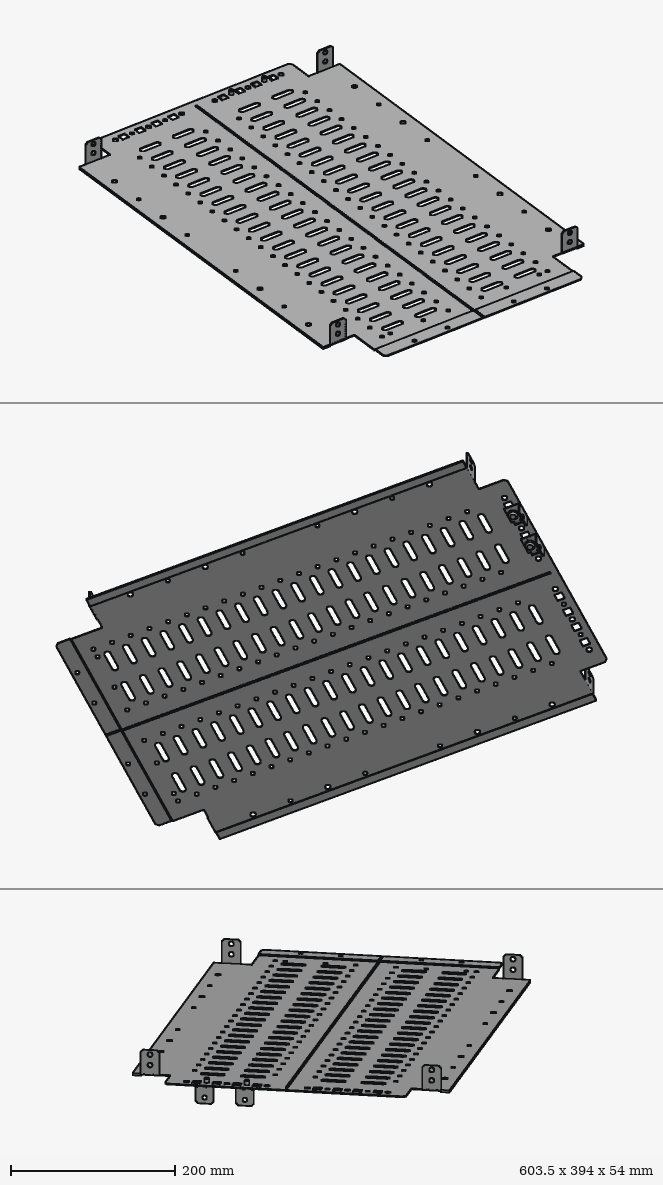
import cadquery as cq
import math


sheet_thickness = 1.5
sheet_left = -301.0
sheet_right = 302.5
sheet_half_width = 149.5
sheet_corner_chamfer = 3.5

slot_field_length = 499.5
slots_per_row = 21
pitch = slot_field_length / (slots_per_row - 1)
slot_row_y = (2 * pitch, 4 * pitch)

lap_step_start = 280.5
lap_step_run = 2.0
lap_hole_x = 295.0

wing_center_x = -pitch / 2
wing_half_length = 251.5
wing_half_width = 197.0
hem_width = 11.0
wing_hole_y = 181.0

tab_width = 23.5
tab_length = 32.0
tab_height = tab_length - sheet_thickness
tab_overhang = 1.0
tab_corner_chamfer = 3.0
tab_bend_radius = 0.9
tab_center_y = 7 * pitch
tab_hole_heights = (11.5, 25.0)
tab_hole_diameter = 6.0

slot_length = 30.0
slot_width = 8.0
small_hole_diameter = 5.1
large_hole_diameter = 6.5
cutter_height = 4 * sheet_thickness
square_hole_side = 9.5
left_column_x = -11.5 * pitch
right_column_x = 10.5 * pitch

perforation_size = 2.3
perforation_start = -292.5
perforation_count = 140
perforation_pitch = (sheet_right - perforation_start) / perforation_count

bracket_rows = slot_row_y
bracket_width = 22.5
bracket_foot_length = 21.0
bracket_leg_length = 22.0
bracket_bottom = -sheet_thickness - bracket_leg_length
bracket_corner_chamfer = 3.0
bracket_hole_diameter = 5.5
bracket_hole_z = -15.5

nose_width = 8.5
nose_slope_degrees = 17
nose_end_clearance = 0.5

bolt_diameter = 6.0
bolt_end_height = 6.0
bolt_end_chamfer = 1.0
bolt_head_diameter = 12.0
bolt_head_height = 6.0
bolt_head_chamfer = 2.5


def box(x_range, y_range, z_range):
    """Box between the given limits."""
    size = [high - low for low, high in (x_range, y_range, z_range)]
    corner = (x_range[0], y_range[0], z_range[0])
    return cq.Workplane("XY").box(*size, centered=False).translate(corner)


def vertical_holes(points, diameter):
    """Round cutters through the full height of the sheet, the raised lap and the hems included."""
    base = cq.Workplane("XY").workplane(offset=-cutter_height / 2)
    return base.pushPoints(points).circle(diameter / 2).extrude(cutter_height)


def mirrored(points):
    """The points together with their mirror images across Y = 0."""
    return points + [(x, -y) for x, y in points]


def make_sheet():
    """Main sheet with the lap at its right end raised by one thickness."""
    lap_start = lap_step_start + lap_step_run
    profile = [
        (sheet_left, -sheet_thickness),
        (lap_step_start, -sheet_thickness),
        (lap_start, 0),
        (sheet_right, 0),
        (sheet_right, sheet_thickness),
        (lap_start, sheet_thickness),
        (lap_step_start, 0),
        (sheet_left, 0),
    ]
    sheet = cq.Workplane("XZ").polyline(profile).close().extrude(sheet_half_width, both=True)
    return sheet.edges("|Z").chamfer(sheet_corner_chamfer)


def make_wings():
    """One blank across both wings, with a hem under each long edge."""
    x_range = (wing_center_x - wing_half_length, wing_center_x + wing_half_length)
    hem_start = wing_half_width - hem_width
    wings = box(x_range, (-wing_half_width, wing_half_width), (-sheet_thickness, 0))
    for y_range in ((-wing_half_width, -hem_start), (hem_start, wing_half_width)):
        wings = wings.union(box(x_range, y_range, (-2 * sheet_thickness, 0)))
    return wings


def make_tab(x_side, y_side):
    """Upright tab at one wing end, with two holes and chamfered upper corners."""
    outer = wing_half_length + tab_overhang
    y_range = (tab_center_y - tab_width / 2, tab_center_y + tab_width / 2)
    tab = box((outer - sheet_thickness, outer), y_range, (-sheet_thickness, tab_height))
    tab = tab.edges("|X and >Z").chamfer(tab_corner_chamfer)
    tab = tab.edges("|Y and >X and <Z").fillet(tab_bend_radius)
    hole_points = [(tab_center_y, height) for height in tab_hole_heights]
    tab = tab.cut(cq.Workplane("YZ").pushPoints(hole_points).circle(tab_hole_diameter / 2).extrude(2 * outer))
    if x_side < 0:
        tab = tab.mirror("YZ")
    if y_side < 0:
        tab = tab.mirror("XZ")
    return tab.translate((wing_center_x, 0, 0))


def slot_cutters():
    """Four rows of slots."""
    first = -slot_field_length / 2
    points = [(first + i * pitch, y) for i in range(slots_per_row) for y in slot_row_y]
    cutters = cq.Workplane("XY").workplane(offset=-sheet_thickness).pushPoints(mirrored(points))
    return cutters.slot2D(slot_length, slot_width, angle=90).extrude(sheet_thickness)


def small_hole_cutters():
    """Hole rows beside the slots, and the holes of the right end, the left column and the wings."""
    first = -slot_field_length / 2 + pitch / 2
    points = [(first + i * pitch, y) for i in range(slots_per_row) for y in (pitch, 5 * pitch)]
    points += [(right_column_x, 2.5 * pitch), (right_column_x, 4.5 * pitch)]
    points += [(lap_hole_x, y) for y in slot_row_y]
    points += [(wing_center_x + i * pitch, wing_hole_y) for i in (-6, -2, 2, 6)]
    left_column = [(left_column_x, -y) for y in bracket_rows]
    return vertical_holes(mirrored(points) + left_column, small_hole_diameter)


def large_hole_cutters():
    """Larger holes of the left column and the wings."""
    points = [(left_column_x, i * pitch) for i in (1, 3, 5)]
    points += [(wing_center_x + i * pitch, wing_hole_y) for i in (-8, -4, 4, 8)]
    return vertical_holes(mirrored(points), large_hole_diameter)


def square_cutters(points, side):
    """Square cutters through the full height of the sheet, the raised lap included."""
    base = cq.Workplane("XY").workplane(offset=-cutter_height / 2)
    return base.pushPoints(points).rect(side, side).extrude(cutter_height)


def square_hole_cutters():
    """Square holes of the left column."""
    points = [(left_column_x, i * pitch) for i in (1.5, 2.5, 3.5, 4.5)]
    return square_cutters(mirrored(points), square_hole_side)


def perforation_cutters():
    """Row of small square perforations along Y = 0."""
    points = [(perforation_start + (i + 0.5) * perforation_pitch, 0) for i in range(perforation_count)]
    return square_cutters(points, perforation_size)


def make_tray():
    """The whole bent and perforated sheet."""
    tray = make_sheet().union(make_wings())
    for x_side in (-1, 1):
        for y_side in (-1, 1):
            tray = tray.union(make_tab(x_side, y_side))
    bolt_holes = vertical_holes([(left_column_x, y) for y in bracket_rows], bolt_diameter)
    cutters = [
        slot_cutters(),
        small_hole_cutters(),
        large_hole_cutters(),
        square_hole_cutters(),
        perforation_cutters(),
        bolt_holes,
    ]
    for cutter in cutters:
        tray = tray.cut(cutter)
    return tray


def make_nose(center_y):
    """Sloped strip that runs from the bracket foot up into the square hole beside it."""
    hinge_y = center_y - bracket_width / 2
    end_y = center_y - pitch / 2 - square_hole_side / 2 + nose_end_clearance
    rise = (hinge_y - end_y) * math.tan(math.radians(nose_slope_degrees))
    foot_top = -sheet_thickness
    profile = [
        (hinge_y, foot_top),
        (end_y, foot_top + rise),
        (end_y, foot_top + rise - sheet_thickness),
        (hinge_y, foot_top - sheet_thickness),
    ]
    nose = cq.Workplane("YZ").polyline(profile).close().extrude(nose_width / 2, both=True)
    return nose.translate((left_column_x, 0, 0))


def make_bracket(center_y):
    """Angle bracket: a foot under the sheet, a leg hanging at its left edge and a locating nose."""
    y_range = (center_y - bracket_width / 2, center_y + bracket_width / 2)
    foot_top = -sheet_thickness
    foot = box((sheet_left, sheet_left + bracket_foot_length), y_range, (foot_top - sheet_thickness, foot_top))
    leg = box((sheet_left, sheet_left + sheet_thickness), y_range, (bracket_bottom, foot_top))
    leg = leg.edges("|X and <Z").chamfer(bracket_corner_chamfer)
    leg_hole = cq.Workplane("YZ", origin=(sheet_left, center_y, bracket_hole_z))
    leg = leg.cut(leg_hole.circle(bracket_hole_diameter / 2).extrude(sheet_thickness))
    bolt_hole = vertical_holes([(left_column_x, center_y)], bolt_diameter).translate((0, 0, foot_top))
    return foot.union(leg).union(make_nose(center_y)).cut(bolt_hole)


def make_bolt(center_y):
    """Bolt with its head under the bracket foot and its end standing above the sheet."""
    head_top = -2 * sheet_thickness
    base = cq.Workplane("XY").workplane(offset=head_top)
    head = base.circle(bolt_head_diameter / 2).extrude(-bolt_head_height)
    head = head.faces("<Z").chamfer(bolt_head_chamfer)
    shank = base.circle(bolt_diameter / 2).extrude(bolt_end_height - head_top)
    shank = shank.faces(">Z").chamfer(bolt_end_chamfer)
    return head.union(shank).translate((left_column_x, center_y, 0))


tray = make_tray()
brackets = [make_bracket(center_y) for center_y in bracket_rows]
bolts = [make_bolt(center_y) for center_y in bracket_rows]

result = cq.Compound.makeCompound([body.val() for body in [tray, *brackets, *bolts]])